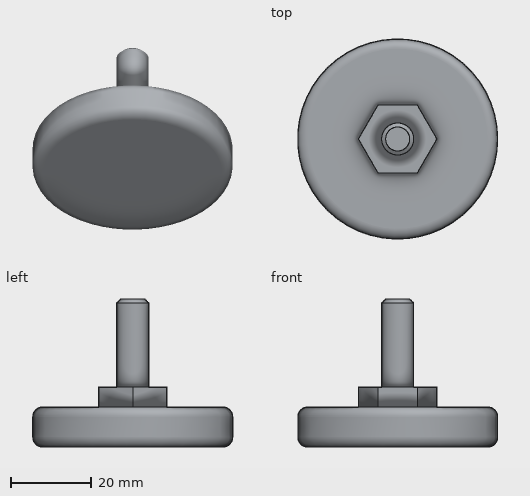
import cadquery as cq
import math

base_diameter = 50
base_height = 10
base_fillet = 2.5

hex_across_flats = 17
hex_height = 5
hex_across_corners = hex_across_flats / math.cos(math.radians(30))

total_height = 37
stud_diameter = 8
stud_chamfer = 1
stud_length = total_height - base_height - hex_height

base = (
    cq.Workplane("XY")
    .circle(base_diameter / 2)
    .extrude(base_height)
    .faces("<Z or >Z")
    .edges()
    .fillet(base_fillet)
)

collar = (
    cq.Workplane("XY")
    .workplane(offset=base_height)
    .polygon(6, hex_across_corners)
    .extrude(hex_height)
)

stud = (
    cq.Workplane("XY")
    .workplane(offset=base_height + hex_height)
    .circle(stud_diameter / 2)
    .extrude(stud_length)
    .faces(">Z")
    .edges()
    .chamfer(stud_chamfer)
)

result = base.union(collar).union(stud)